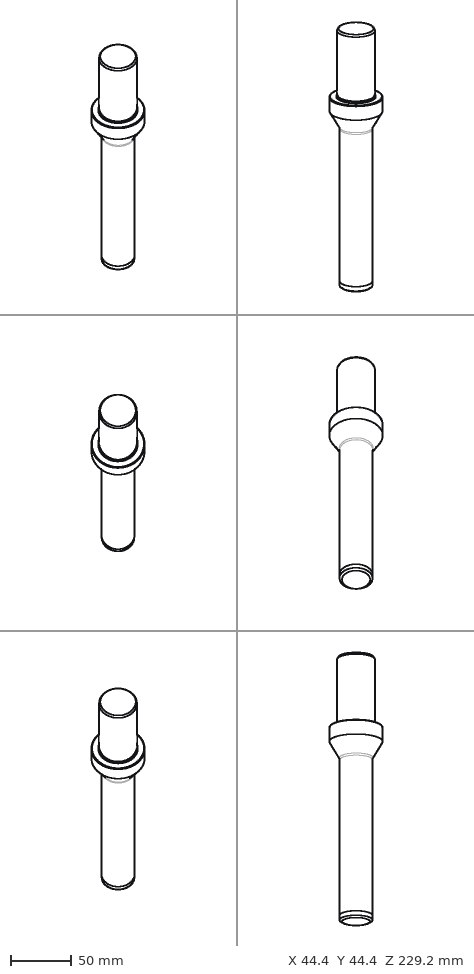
import cadquery as cq
import math

total_length = 229.2
rod_radius = 13.8
shank_radius = 15.8
collar_radius = 22.2

top_z = total_length / 2
bottom_z = -total_length / 2
collar_top_z = 54.3
collar_bottom_z = 41.5
tip_height = 5.3
tip_top_z = bottom_z + tip_height

shank_chamfer_width = 1.1
shank_chamfer_height = 1.8
collar_chamfer = 0.7
tip_chamfer_width = 2.0
tip_chamfer_height = 1.4

relief_radius = 15.1
relief_height = 1.5
relief_flare_radius = 16.5
relief_chamfer = shank_radius - relief_radius
relief_depth = 0.7

cone_half_angle = math.radians(30)
cone_blend_radius = 3.5
cone_height = (collar_radius - rod_radius) / math.tan(cone_half_angle)
cone_end_z = collar_bottom_z - cone_height
blend_tangent = cone_blend_radius * math.tan(cone_half_angle / 2)


def make_mandrel():
    """Shank, relief groove, collar, cone and rod turned about the Z axis."""
    blend_top = (
        rod_radius + blend_tangent * math.sin(cone_half_angle),
        cone_end_z + blend_tangent * math.cos(cone_half_angle),
    )
    blend_middle = (
        rod_radius + cone_blend_radius * (1 - math.cos(cone_half_angle / 2)),
        cone_end_z - blend_tangent + cone_blend_radius * math.sin(cone_half_angle / 2),
    )
    blend_bottom = (rod_radius, cone_end_z - blend_tangent)
    relief_top_z = collar_top_z + relief_height
    profile = (
        cq.Workplane("XZ")
        .moveTo(0, tip_top_z)
        .lineTo(rod_radius, tip_top_z)
        .lineTo(*blend_bottom)
        .threePointArc(blend_middle, blend_top)
        .lineTo(collar_radius, collar_bottom_z)
        .lineTo(collar_radius, collar_top_z - collar_chamfer)
        .lineTo(collar_radius - collar_chamfer, collar_top_z)
        .lineTo(relief_flare_radius, collar_top_z)
        .lineTo(relief_radius, collar_top_z - relief_depth)
        .lineTo(relief_radius, relief_top_z - relief_chamfer)
        .lineTo(shank_radius, relief_top_z)
        .lineTo(shank_radius, top_z - shank_chamfer_height)
        .lineTo(shank_radius - shank_chamfer_width, top_z)
        .lineTo(0, top_z)
        .close()
    )
    return profile.revolve(360, (0, 0, 0), (0, 1, 0))


def make_tip():
    """Chamfered disc closing the lower end of the rod."""
    profile = (
        cq.Workplane("XZ")
        .moveTo(0, bottom_z)
        .lineTo(rod_radius - tip_chamfer_width, bottom_z)
        .lineTo(rod_radius, bottom_z + tip_chamfer_height)
        .lineTo(rod_radius, tip_top_z)
        .lineTo(0, tip_top_z)
        .close()
    )
    return profile.revolve(360, (0, 0, 0), (0, 1, 0))


mandrel = make_mandrel()
tip = make_tip()

result = cq.Compound.makeCompound([mandrel.val(), tip.val()])